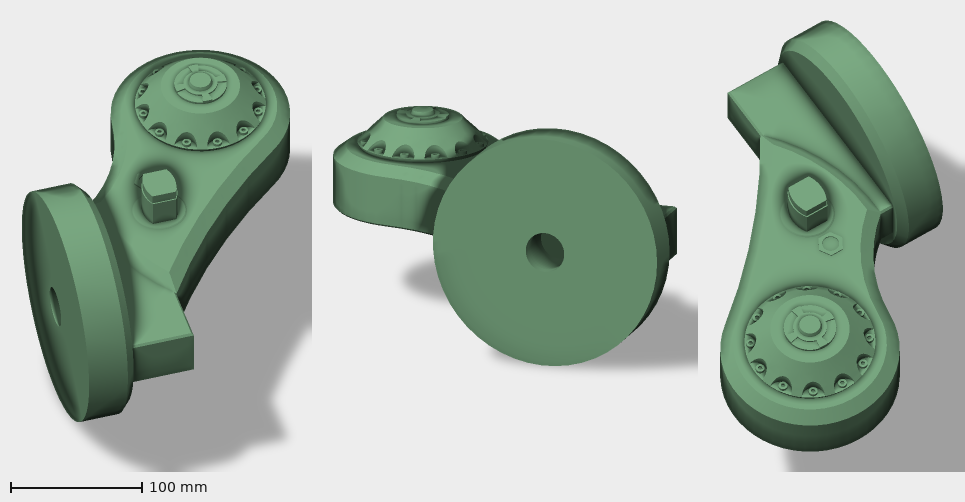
import cadquery as cq
import math


overall_x = 308.5
overall_y = 228.5

flange_diameter = 180.0
flange_thickness = 37.3
flange_chamfer = 6.5
flange_bore_radius = 15.5

head_radius = 68.5
arm_half_height = 19.7
arm_top_z = 27.0
arm_top_bevel_inset = 10.0
bottom_chamfer = 1.5
concave_side_radius = 120.0
long_side_radius = 499.8
front_arc_radius = 150.0
front_left_y = -112.0
front_right_x = 181.7

block_half_width = 77.5
block_rear_y = -73.0
block_chamfer = 1.5

hub_foot_radius = 48.7
hub_rim_radius = 50.0
hub_top_radius = 30.2
hub_rim_height = 3.0
hub_top_z = 49.5
pocket_count = 12
pocket_radius = 9.0
screw_circle_radius = 45.5
screw_head_radius = 3.5
screw_head_height = 2.5
screw_socket_size = 3.7
screw_socket_depth = 2.0

cap_radius = 20.0
cap_disc_height = 2.0
cap_cross_height = 1.2
cross_hub_radius = 13.0
spoke_count = 4
spoke_inner_width = 5.0
spoke_outer_width = 8.0
boss_foot_radius = 9.3
boss_top_radius = 8.0
boss_top_z = 55.5

post_x = 98.7
post_y = -62.0
post_half_width = 13.5
post_flat_half_length = 9.3
post_crown = 4.0
post_shoulder_z = 49.0
post_top_z = 56.5
post_top_inset = 1.0
washer_foot_radius = 21.0
washer_top_radius = 19.7
washer_height = 0.5

collar_x = 66.3
collar_across_flats = 18.2
collar_height = 1.0
collar_bore_radius = 6.5

flange_radius = flange_diameter / 2
flange_x = overall_x - head_radius - flange_radius
flange_front_y = head_radius - overall_y
flange_rear_y = flange_front_y + flange_thickness
block_left_x = flange_x - block_half_width
hub_rim_z = arm_top_z + hub_rim_height


def tangent_angle(x, y, side_radius, side):
    """Polar angle on the head where a tangent concave arc leaves it to end at (x, y)."""
    distance = math.hypot(x, y)
    centre_distance = head_radius + side_radius
    cosine = (centre_distance**2 + distance**2 - side_radius**2) / (2 * centre_distance * distance)
    return math.atan2(y, x) + side * math.acos(cosine)


def head_point(angle):
    """Point on the head circle at a polar angle."""
    return (head_radius * math.cos(angle), head_radius * math.sin(angle))


def cone(foot_radius, top_radius, foot_z, top_z):
    """Solid cone frustum on the hub axis."""
    profile = [(0, foot_z), (foot_radius, foot_z), (top_radius, top_z), (0, top_z)]
    return cq.Workplane("XZ").polyline(profile).close().revolve(360, (0, 0), (0, 1))


def cylinder(radius, foot_z, height, x=0):
    """Vertical cylinder with its axis at Y = 0."""
    return cq.Workplane("XY", origin=(x, 0, foot_z)).circle(radius).extrude(height)


def arm_outline(z):
    """Round head, long concave side, convex front edge and short concave side."""
    long_side = tangent_angle(front_right_x, block_rear_y, long_side_radius, 1)
    short_side = tangent_angle(block_left_x, front_left_y, concave_side_radius, -1)
    return (
        cq.Workplane("XY", origin=(0, 0, z))
        .moveTo(*head_point(short_side))
        .threePointArc(head_point((short_side + long_side) / 2 + math.pi), head_point(long_side))
        .radiusArc((front_right_x, block_rear_y), -long_side_radius)
        .radiusArc((block_left_x, front_left_y), front_arc_radius)
        .radiusArc(head_point(short_side), -concave_side_radius)
        .close()
    )


def make_arm():
    body = arm_outline(-arm_half_height).extrude(2 * arm_half_height)
    body = body.faces("<Z").chamfer(bottom_chamfer)
    bevel_height = arm_top_z - arm_half_height
    bevel_angle = math.degrees(math.atan2(arm_top_bevel_inset, bevel_height))
    return body.union(arm_outline(arm_half_height).extrude(bevel_height, taper=bevel_angle))


def make_block():
    length = block_rear_y - flange_rear_y
    block = cq.Workplane("XY").box(2 * block_half_width, length, 2 * arm_half_height)
    block = block.edges("|Y or (|X and >Y)").chamfer(block_chamfer)
    return block.translate((flange_x, block_rear_y - length / 2, 0))


def make_flange():
    disc = (
        cq.Workplane("XZ", origin=(flange_x, flange_front_y, 0))
        .circle(flange_radius)
        .extrude(-flange_thickness)
        .faces(">Y")
        .chamfer(flange_chamfer)
    )
    return disc.faces("<Y").workplane(centerOption="CenterOfMass").hole(2 * flange_bore_radius)


def make_screw():
    head = cylinder(screw_head_radius, hub_rim_z, screw_head_height)
    return head.faces(">Z").workplane().polygon(6, screw_socket_size).cutBlind(-screw_socket_depth)


def make_hub():
    foot = cone(hub_foot_radius, hub_rim_radius, arm_top_z, hub_rim_z)
    hub = foot.union(cone(hub_rim_radius, hub_top_radius, hub_rim_z, hub_top_z))
    pocket = cylinder(pocket_radius, hub_rim_z, hub_top_z - hub_rim_z, hub_rim_radius)
    screw = make_screw().translate((screw_circle_radius, 0, 0))
    for index in range(pocket_count):
        turn = ((0, 0, 0), (0, 0, 1), index * 360 / pocket_count)
        hub = hub.cut(pocket.rotate(*turn)).union(screw.rotate(*turn))
    return hub


def make_cap():
    cross_z = hub_top_z + cap_disc_height
    cross = cylinder(cross_hub_radius, cross_z, cap_cross_height)
    spoke = (
        cq.Workplane("XY", origin=(0, 0, cross_z))
        .moveTo(0, -spoke_inner_width / 2)
        .lineTo(cross_hub_radius, -spoke_inner_width / 2)
        .lineTo(cap_radius, -spoke_outer_width / 2)
        .lineTo(cap_radius, spoke_outer_width / 2)
        .lineTo(cross_hub_radius, spoke_inner_width / 2)
        .lineTo(0, spoke_inner_width / 2)
        .close()
        .extrude(cap_cross_height)
    )
    for index in range(spoke_count):
        cross = cross.union(spoke.rotate((0, 0, 0), (0, 0, 1), index * 360 / spoke_count))
    cross = cross.intersect(cylinder(cap_radius, cross_z, cap_cross_height))
    boss = cone(boss_foot_radius, boss_top_radius, cross_z + cap_cross_height, boss_top_z)
    return cylinder(cap_radius, hub_top_z, cap_disc_height).union(cross).union(boss)


def post_section(foot_z, top_z, inset):
    """Post length with flat sides facing X and crowned sides facing Y."""
    half_width = post_half_width - inset
    flat = post_flat_half_length
    crown = flat + post_crown - inset
    return (
        cq.Workplane("XY", origin=(post_x, post_y, foot_z))
        .moveTo(-half_width, -flat)
        .threePointArc((0, -crown), (half_width, -flat))
        .lineTo(half_width, flat)
        .threePointArc((0, crown), (-half_width, flat))
        .close()
        .extrude(top_z - foot_z)
    )


def make_post():
    washer_top_z = arm_top_z + washer_height
    washer = cone(washer_foot_radius, washer_top_radius, arm_top_z, washer_top_z)
    shank = post_section(arm_top_z, post_shoulder_z, 0)
    tip = post_section(post_shoulder_z, post_top_z, post_top_inset)
    return washer.translate((post_x, post_y, 0)).union(shank).union(tip)


def make_collar():
    across_corners = collar_across_flats / math.cos(math.pi / 6)
    return (
        cq.Workplane("XY", origin=(collar_x, post_y, arm_top_z))
        .transformed(rotate=(0, 0, 90))
        .polygon(6, across_corners)
        .circle(collar_bore_radius)
        .extrude(collar_height)
    )


result = make_arm()
for feature in (make_block(), make_flange(), make_hub(), make_cap(), make_post(), make_collar()):
    result = result.union(feature)